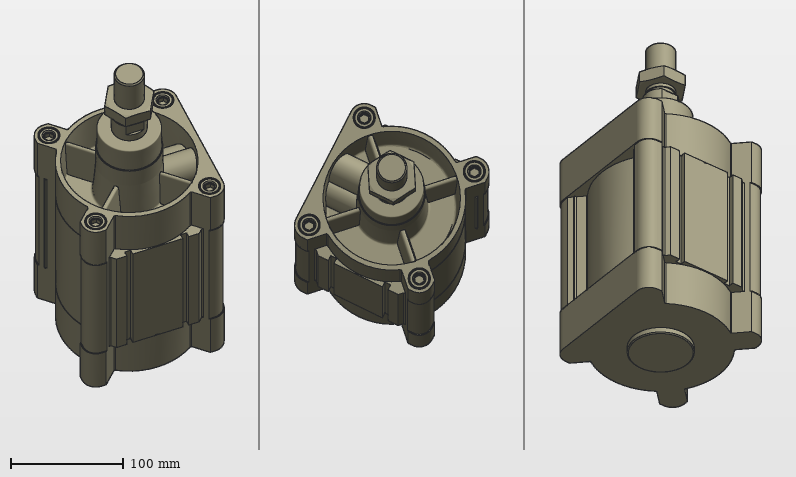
import cadquery as cq
import math


total_height = 335.0
foot_height = 6.0
cap_height = 45.2
barrel_height = 120.3
barrel_bottom = foot_height + cap_height
barrel_top = barrel_bottom + barrel_height
head_top = barrel_top + cap_height

cap_half = 68.0
barrel_half = 67.0
cap_body_radius = 66.0
barrel_body_radius = 65.5
bolt_offset = 55.0
lobe_end = 50.2
lobe_lead = cap_half - lobe_end
cap_flank_foot = 55.3
barrel_flank_foot = 55.0
notch_floor = 63.3
ledge_start = notch_floor - lobe_lead
ledge_end = 43.5
slot_inner = 24.0
slot_width = 5.7
slot_depth = 5.0

collar_radius = 60.0 / 2
collar_shoulder = 237.5
collar_top = 262.3
nose_base_radius = 29.0
nose_top_radius = 28.8
collar_chamfer = 0.7
nose_fillet = 1.0
foot_chamfer = 1.0

recess_floor = 178.5
recess_top_radius = 61.3
recess_floor_radius = 58.0
recess_boss_radius = 32.8
recess_fillet = 2.0
rib_top = 214.0
rib_top_width = 4.7
rib_base_width = 11.5
rib_crown_flat = 0.7
port_x = 8.0
port_z = barrel_top + cap_height / 2
port_radius = 15.5
cushion_x = -10.7
cushion_z = 183.0
cushion_radius = 14.5

bolt_hole_rim_diameter = 19.8
bolt_hole_diameter = 18.8
bolt_head_diameter = 18.0
bolt_head_chamfer = 0.7
bolt_gap_depth = 2.0
socket_diameter = 10.0
socket_chamfer = 1.0
socket_round_depth = 2.0
hex_across_flats = 8.0
hex_depth = 6.7

rod_radius = 32.0 / 2
thread_radius = 27.0 / 2
neck_radius = 24.8 / 2
flats_width = 27.0
flats_bottom = 270.5
rod_shoulder = 281.5
neck_top = 286.0
neck_fillet = 1.5
rod_tip_chamfer = 1.5
nut_across_flats = 41.2
nut_bottom = 289.5
nut_height = 12.7
nut_chamfer_slope = math.tan(math.radians(15))


def lobed_section(half, body_radius, flank_foot, bottom, height):
    """Rounded square block, and the cutter that frees two of its corner lobes on the -Y side."""
    square = (
        cq.Workplane("XY", origin=(0, 0, bottom))
        .rect(2 * half, 2 * half)
        .extrude(height)
        .edges("|Z")
        .fillet(half - bolt_offset)
    )
    disc = cq.Workplane("XY", origin=(0, 0, bottom)).circle(body_radius).extrude(height)
    outer_width = half - lobe_lead
    foot_width = flank_foot - lobe_lead
    side_cutter = (
        cq.Workplane("XY", origin=(0, 0, bottom))
        .moveTo(-outer_width, -half)
        .lineTo(outer_width, -half)
        .lineTo(foot_width, -flank_foot)
        .lineTo(-foot_width, -flank_foot)
        .close()
        .extrude(height)
        .cut(disc)
    )
    return square, side_cutter


def turned(body, angle):
    """The body turned about the cylinder axis."""
    return body.rotate((0, 0, 0), (0, 0, 1), angle)


def make_cap(bottom):
    """End cap: lobes freed on three sides, the +Y side left flat."""
    cap, side_cutter = lobed_section(cap_half, cap_body_radius, cap_flank_foot, bottom, cap_height)
    for angle in (0, 90, -90):
        cap = cap.cut(turned(side_cutter, angle))
    return cap


def barrel_ledges():
    """Small ledges left on the lobe flanks of the -Y and +Y sides."""
    ledges = cq.Workplane("XY", origin=(0, 0, barrel_bottom))
    ledge_width = ledge_start - ledge_end
    ledge_middle = (ledge_start + ledge_end) / 2
    ledge_depth = notch_floor - ledge_width / 2
    centres = [(x, y) for x in (-ledge_middle, ledge_middle) for y in (-ledge_depth, ledge_depth)]
    return ledges.pushPoints(centres).rect(ledge_width, ledge_width).extrude(barrel_height)


def side_flange():
    """Bevelled rail plate for the +X side of the barrel, and the cutter for its two sensor slots."""
    bevel = barrel_half - notch_floor
    flange = (
        cq.Workplane("XY", origin=(0, 0, barrel_bottom))
        .moveTo(0, -ledge_start)
        .lineTo(notch_floor, -ledge_start)
        .lineTo(notch_floor, -ledge_end)
        .lineTo(barrel_half, bevel - ledge_end)
        .lineTo(barrel_half, ledge_end - bevel)
        .lineTo(notch_floor, ledge_end)
        .lineTo(notch_floor, ledge_start)
        .lineTo(0, ledge_start)
        .close()
        .extrude(barrel_height)
    )
    slot_y = slot_inner + slot_width / 2
    slots = (
        cq.Workplane("XY", origin=(0, 0, barrel_bottom))
        .pushPoints([(barrel_half, slot_y), (barrel_half, -slot_y)])
        .rect(2 * slot_depth, slot_width)
        .extrude(barrel_height)
    )
    return flange, slots


def make_barrel():
    barrel, side_cutter = lobed_section(
        barrel_half, barrel_body_radius, barrel_flank_foot, barrel_bottom, barrel_height
    )
    for angle in (0, 90, 180, -90):
        barrel = barrel.cut(turned(side_cutter, angle))
    barrel = barrel.union(barrel_ledges())
    flange, slots = side_flange()
    for angle in (0, 180):
        barrel = barrel.union(turned(flange, angle)).cut(turned(slots, angle))
    return barrel


def make_collar():
    """Two-step nose around the rod, above the head cap."""
    collar = (
        cq.Workplane("XY", origin=(0, 0, head_top))
        .circle(collar_radius)
        .extrude(collar_shoulder - head_top)
        .faces(">Z")
        .chamfer(collar_chamfer)
    )
    nose = (
        cq.Workplane("XZ")
        .moveTo(0, head_top)
        .lineTo(nose_base_radius, head_top)
        .lineTo(nose_base_radius, collar_shoulder)
        .lineTo(nose_top_radius, collar_top)
        .lineTo(0, collar_top)
        .close()
        .revolve(360, (0, 0, 0), (0, 1, 0))
        .faces(">Z")
        .edges()
        .fillet(nose_fillet)
    )
    return collar.union(nose)


def make_foot():
    return (
        cq.Workplane("XY")
        .circle(collar_radius)
        .extrude(foot_height)
        .faces("<Z")
        .chamfer(foot_chamfer)
    )


def straight_rib():
    """Tapered rib with rounded crown edges, running along X right through the axis."""
    half_width = rib_top_width / 2
    half_flat = rib_crown_flat / 2
    round_radius = half_width - half_flat
    shoulder = rib_top - round_radius
    arc_y = half_flat + round_radius * math.cos(math.radians(45))
    arc_z = shoulder + round_radius * math.sin(math.radians(45))
    return (
        cq.Workplane("YZ")
        .moveTo(-rib_base_width / 2, recess_floor)
        .lineTo(rib_base_width / 2, recess_floor)
        .lineTo(half_width, shoulder)
        .threePointArc((arc_y, arc_z), (half_flat, rib_top))
        .lineTo(-half_flat, rib_top)
        .threePointArc((-arc_y, arc_z), (-half_width, shoulder))
        .close()
        .extrude(cap_half, both=True)
    )


def port_body(x, z, radius):
    """Round port housing running from the axis plane out to the +Y side."""
    return cq.Workplane("XZ", origin=(x, 0, z)).circle(radius).extrude(-cap_half)


def head_recess():
    """Space hollowed out of the head cap around the ribs and the two port housings."""
    recess = (
        cq.Workplane("XZ")
        .moveTo(collar_radius, head_top)
        .lineTo(recess_boss_radius, recess_floor)
        .lineTo(recess_floor_radius, recess_floor)
        .lineTo(recess_top_radius, head_top)
        .close()
        .revolve(360, (0, 0, 0), (0, 1, 0))
        .faces("<Z")
        .edges()
        .fillet(recess_fillet)
    )
    for angle in (45, -45):
        recess = recess.cut(turned(straight_rib(), angle))
    recess = recess.cut(port_body(port_x, port_z, port_radius))
    return recess.cut(port_body(cushion_x, cushion_z, cushion_radius))


def bolt_recess():
    """Gap around one bolt head, and the hexagon socket in it."""
    rim_radius = bolt_hole_rim_diameter / 2
    hole_radius = bolt_hole_diameter / 2
    head_radius = bolt_head_diameter / 2
    gap = (
        cq.Workplane("XZ")
        .moveTo(head_radius - bolt_head_chamfer, head_top)
        .lineTo(head_radius, head_top - bolt_head_chamfer)
        .lineTo(head_radius, head_top - bolt_gap_depth)
        .lineTo(hole_radius, head_top - bolt_gap_depth)
        .lineTo(hole_radius, head_top - (rim_radius - hole_radius))
        .lineTo(rim_radius, head_top)
        .close()
        .revolve(360, (0, 0, 0), (0, 1, 0))
    )
    socket_radius = socket_diameter / 2
    socket = (
        cq.Workplane("XZ")
        .moveTo(0, head_top)
        .lineTo(socket_radius + socket_chamfer, head_top)
        .lineTo(socket_radius, head_top - socket_chamfer)
        .lineTo(socket_radius, head_top - socket_round_depth)
        .lineTo(0, head_top - socket_round_depth)
        .close()
        .revolve(360, (0, 0, 0), (0, 1, 0))
    )
    hexagon = (
        cq.Workplane("XY", origin=(0, 0, head_top))
        .polygon(6, hex_across_flats, circumscribed=True)
        .extrude(-hex_depth)
    )
    return gap.union(socket).union(hexagon)


def make_housing():
    housing = make_foot().union(make_cap(foot_height)).union(make_barrel())
    housing = housing.union(make_cap(barrel_top)).union(make_collar())
    housing = housing.cut(head_recess())
    for x in (-bolt_offset, bolt_offset):
        for y in (-bolt_offset, bolt_offset):
            housing = housing.cut(bolt_recess().translate((x, y, 0)))
    bore_depth = collar_top - barrel_top
    rod_bore = cq.Workplane("XY", origin=(0, 0, barrel_top)).circle(rod_radius).extrude(bore_depth)
    return housing.cut(rod_bore)


def make_rod():
    """Rod with two wrench flats, a thread undercut and a plain thread cylinder."""
    fillet_mid = neck_fillet * (1 - math.cos(math.radians(45)))
    rod = (
        cq.Workplane("XZ")
        .moveTo(0, barrel_top)
        .lineTo(rod_radius, barrel_top)
        .lineTo(rod_radius, rod_shoulder)
        .lineTo(neck_radius + neck_fillet, rod_shoulder)
        .threePointArc(
            (neck_radius + fillet_mid, rod_shoulder + fillet_mid),
            (neck_radius, rod_shoulder + neck_fillet),
        )
        .lineTo(neck_radius, neck_top)
        .lineTo(thread_radius, neck_top)
        .lineTo(thread_radius, total_height - rod_tip_chamfer)
        .lineTo(thread_radius - rod_tip_chamfer, total_height)
        .lineTo(0, total_height)
        .close()
        .revolve(360, (0, 0, 0), (0, 1, 0))
    )
    flats_height = rod_shoulder - flats_bottom
    cutter_x = (flats_width + rod_radius) / 2
    flats = (
        cq.Workplane("XY", origin=(0, 0, flats_bottom))
        .pushPoints([(-cutter_x, 0), (cutter_x, 0)])
        .rect(rod_radius, 2 * rod_radius)
        .extrude(flats_height)
    )
    return rod.cut(flats)


def make_nut():
    """Hexagon nut with corners on the Y axis, chamfered on both faces."""
    nut = (
        cq.Workplane("XY", origin=(0, 0, nut_bottom))
        .polygon(6, nut_across_flats, circumscribed=True)
        .extrude(nut_height)
    )
    face_radius = nut_across_flats / 2
    corner_radius = face_radius / math.cos(math.radians(30))
    chamfer_drop = (corner_radius - face_radius) * nut_chamfer_slope
    nut_top = nut_bottom + nut_height
    chamfered_blank = (
        cq.Workplane("XZ")
        .moveTo(0, nut_bottom)
        .lineTo(face_radius, nut_bottom)
        .lineTo(corner_radius, nut_bottom + chamfer_drop)
        .lineTo(corner_radius, nut_top - chamfer_drop)
        .lineTo(face_radius, nut_top)
        .lineTo(0, nut_top)
        .close()
        .revolve(360, (0, 0, 0), (0, 1, 0))
    )
    bore = cq.Workplane("XY", origin=(0, 0, nut_bottom)).circle(thread_radius).extrude(nut_height)
    return nut.intersect(chamfered_blank).cut(bore)


housing = make_housing()
rod = make_rod()
nut = make_nut()

result = cq.Compound.makeCompound([housing.val(), rod.val(), nut.val()])